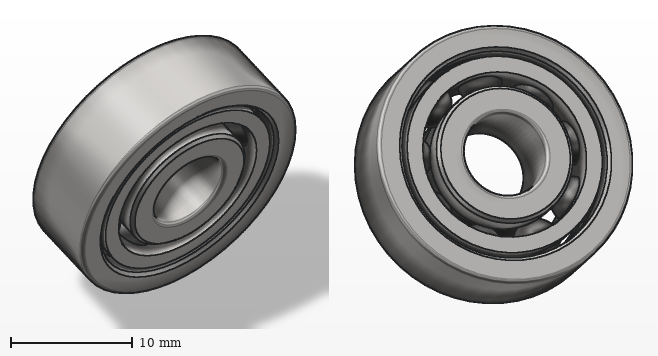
import cadquery as cq
import math


outer_radius = 11.0
bearing_width = 7.02
bore_radius = 3.5
corner_radius = 0.3

inner_shoulder_radius = 5.85
outer_shoulder_radius = 8.82
shoulder_chamfer = 0.29

ball_count = 9
ball_radius = 1.95
pitch_radius = (inner_shoulder_radius + outer_shoulder_radius) / 2
ball_pitch_angle = 360 / ball_count

cage_inner_radius = 7.05
cage_outer_radius = 8.38
cage_width = 6.51


def tube(inner_radius, outer_radius, width):
    """Plain tube along X, centred on the YZ plane."""
    start = cq.Workplane("YZ").workplane(offset=-width / 2)
    return start.circle(outer_radius).circle(inner_radius).extrude(width)


def end_face_edges(body, radius):
    """The two circles of the given radius on the end faces of a ring."""
    circles = body.faces("<X or >X").edges("%CIRCLE")
    return circles.filter(lambda edge: math.isclose(edge.radius(), radius))


def make_ring(inner_radius, outer_radius, rounded_radius, chamfered_radius):
    """Bearing ring with rounded rims, chamfered rims and a groove that the balls run in."""
    blank = tube(inner_radius, outer_radius, bearing_width)
    rounded = end_face_edges(blank, rounded_radius).fillet(corner_radius)
    finished = end_face_edges(rounded, chamfered_radius).chamfer(shoulder_chamfer)
    ball_path = cq.Solid.makeTorus(pitch_radius, ball_radius, dir=cq.Vector(1, 0, 0))
    return finished.cut(cq.Workplane(ball_path))


def make_cage():
    """Cage ring with the balls fused into it, the first ball on the +Y side."""
    cage = tube(cage_inner_radius, cage_outer_radius, cage_width)
    for i in range(ball_count):
        turn_from_top = i * ball_pitch_angle - 90
        top_ball = cq.Workplane("XY").sphere(ball_radius).translate((0, 0, pitch_radius))
        ball = top_ball.rotate((0, 0, 0), (1, 0, 0), turn_from_top)
        cage = cage.union(ball)
    return cage


outer_ring = make_ring(outer_shoulder_radius, outer_radius, outer_radius, outer_shoulder_radius)
inner_ring = make_ring(bore_radius, inner_shoulder_radius, bore_radius, inner_shoulder_radius)
cage_with_balls = make_cage()

result = cq.Compound.makeCompound([outer_ring.val(), inner_ring.val(), cage_with_balls.val()])